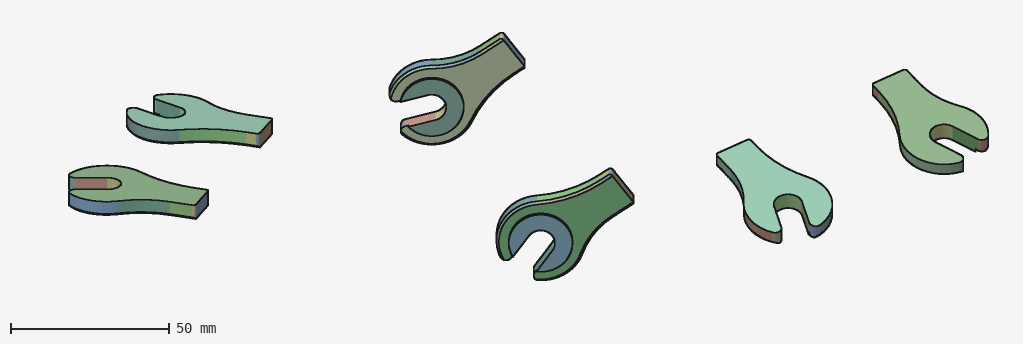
import cadquery as cq
import math

overall_width = 87.0
head_radius = 14.0
head_offset = overall_width / 2 - head_radius

handle_end = 32.0
handle_half_width = 6.4
handle_corner_radius = 1.0
upper_blend_radius = 26.1
lower_blend_radius = 40.0

slot_radius = 4.5
slot_tilt = 20.0
slot_length = 2 * head_radius
jaw_tip_radius = 2.1

total_height = 6.0
boss_height = 1.0
plate_height = total_height - boss_height
boss_radius = 10.1
edge_chamfer = 0.8


def neck_points(blend_radius):
    """Points of a concave neck tangent to the head circle and the handle side.

    Returns the head tangent point, a point midway along the arc and the handle
    tangent point, all for the +Y side.
    """
    centre_y = handle_half_width + blend_radius
    centre_distance = head_radius + blend_radius
    centre_x = math.sqrt(centre_distance**2 - centre_y**2)
    head_share = head_radius / centre_distance
    head_tangent = (centre_x * head_share, centre_y * head_share)
    head_angle = math.atan2(-centre_y, -centre_x)
    middle_angle = (head_angle - math.pi / 2) / 2
    middle = (
        centre_x + blend_radius * math.cos(middle_angle),
        centre_y + blend_radius * math.sin(middle_angle),
    )
    return head_tangent, middle, (centre_x, handle_half_width)


def mirror_y(point):
    return (point[0], -point[1])


def chamfered_plate():
    """Head and handle without the jaw opening, chamfered below except on the end face."""
    upper_head, upper_middle, upper_handle = neck_points(upper_blend_radius)
    lower_head, lower_middle, lower_handle = map(mirror_y, neck_points(lower_blend_radius))
    plate = (
        cq.Workplane("XY")
        .moveTo(handle_end, handle_half_width)
        .lineTo(*upper_handle)
        .threePointArc(upper_middle, upper_head)
        .threePointArc((-head_radius, 0), lower_head)
        .threePointArc(lower_middle, lower_handle)
        .lineTo(handle_end, -handle_half_width)
        .close()
        .extrude(plate_height)
    )
    end_edge = cq.selectors.NearestToPointSelector((handle_end, 0, 0))
    rim = plate.faces("<Z").edges().objects
    end = plate.faces("<Z").edges(end_edge).val()
    return plate.newObject([edge for edge in rim if not edge.isSame(end)]).chamfer(edge_chamfer)


def jaw_slot():
    """Round-ended opening, tilted upwards and running out past the jaw tips."""
    return (
        cq.Workplane("XY")
        .circle(slot_radius)
        .extrude(total_height)
        .union(
            cq.Workplane("XY")
            .rect(slot_length, 2 * slot_radius)
            .extrude(total_height)
            .translate((-slot_length / 2, 0, 0))
        )
        .rotate((0, 0, 0), (0, 0, 1), -slot_tilt)
        .translate((0, 0, -boss_height))
    )


def jaw_tip_point(side):
    """Sharp jaw tip where a slot wall meets the head circle; side is +1 or -1."""
    angle = math.pi - math.radians(slot_tilt) - side * math.asin(slot_radius / head_radius)
    return (head_radius * math.cos(angle), head_radius * math.sin(angle))


def round_corner(body, corner, radius):
    """Round the vertical edge nearest to the given plan corner."""
    nearest = cq.selectors.NearestToPointSelector((*corner, plate_height / 2))
    return body.edges("|Z").edges(nearest).fillet(radius)


def make_wrench_head():
    """One wrench head, with its head centre at the origin."""
    boss = cq.Workplane("XY").circle(boss_radius).extrude(-boss_height)
    wrench = chamfered_plate().cut(jaw_slot())
    for side in (1, -1):
        wrench = round_corner(wrench, jaw_tip_point(side), jaw_tip_radius)
        handle_corner = (handle_end, side * handle_half_width)
        wrench = round_corner(wrench, handle_corner, handle_corner_radius)
    return wrench.union(boss.cut(jaw_slot()))


wrench_head = make_wrench_head()
wrench_heads = []
for side in (1, -1):
    oriented = wrench_head if side == 1 else wrench_head.mirror("XZ")
    wrench_heads.append(oriented.translate((0, side * head_offset, 0)).val())

result = cq.Compound.makeCompound(wrench_heads)